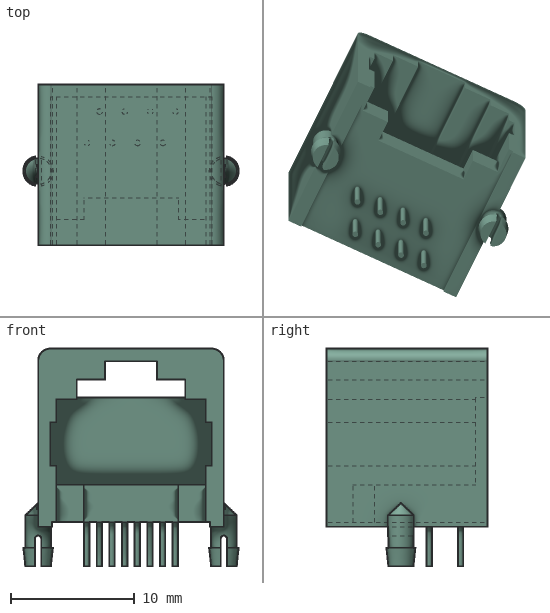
import cadquery as cq


total_height = 17.6
body_width = 15.0
body_depth = 13.0
body_bottom = 3.2
corner_radius = 1.0
front_y = -body_depth / 2
back_y = body_depth / 2

underside_z = 3.57
foot_inner_x = 6.37
plug_half_width = 6.02
rail_half_width = 6.51
rail_bottom = 8.11
rail_top = 11.65
plug_top = 13.5
latch_half_width = 4.36
latch_top = 15.08
tab_half_width = 2.1
tab_top = 16.56

floor_top = 6.6
floor_setback = 2.13
recess_depth = 1.75
recess_half_width = 3.8
rear_wall_top = 13.65
rear_wall_thickness = 1.0

pin_diameter = 0.45
pin_count = 8
pin_pitch = 1.02
pin_row_y = (1.8, 4.33)

post_diameter = 2.1
barb_diameter = 17.4 - body_width
barb_height = 1.5
post_shoulder_z = 4.12
post_tip_z = 5.12
post_y = -0.5
slot_width = 0.5
slot_top = 2.48


def box_between(x_min, x_max, y_min, y_max, z_min, z_max):
    """Axis-aligned box given by its limits."""
    size = (x_max - x_min, y_max - y_min, z_max - z_min)
    return cq.Workplane("XY").box(*size, centered=False).translate((x_min, y_min, z_min))


def centred_channel(half_width, z_min, z_max):
    """Box symmetric about X = 0 that runs the full depth of the housing."""
    return box_between(-half_width, half_width, front_y, back_y, z_min, z_max)


def make_shell():
    """Rounded housing with the stepped plug opening cut from front to back."""
    shell = centred_channel(body_width / 2, body_bottom, total_height)
    shell = shell.edges("|Y and >Z").fillet(corner_radius)
    opening_steps = (
        (foot_inner_x, body_bottom, underside_z),
        (plug_half_width, underside_z, plug_top),
        (rail_half_width, rail_bottom, rail_top),
        (latch_half_width, plug_top, latch_top),
        (tab_half_width, latch_top, tab_top),
    )
    for half_width, z_min, z_max in opening_steps:
        shell = shell.cut(centred_channel(half_width, z_min, z_max))
    return shell


def make_floor():
    """Floor block between the side walls, recessed in the middle of its front."""
    floor_front = front_y + floor_setback
    floor = box_between(-plug_half_width, plug_half_width, floor_front, back_y, underside_z, floor_top)
    recess = box_between(
        -recess_half_width, recess_half_width,
        floor_front, floor_front + recess_depth,
        underside_z, floor_top,
    )
    return floor.cut(recess)


def make_rear_wall():
    """Wall that closes the back of the opening, leaving a window above it."""
    wall_front = back_y - rear_wall_thickness
    lower = box_between(-rail_half_width, rail_half_width, wall_front, back_y, underside_z, plug_top)
    upper = box_between(-latch_half_width, latch_half_width, wall_front, back_y, plug_top, rear_wall_top)
    return lower.union(upper)


def make_pin(index):
    """Round contact pin rising into the floor block; rows alternate along X."""
    x = (index - (pin_count - 1) / 2) * pin_pitch
    y = pin_row_y[index % len(pin_row_y)]
    pin_length = (underside_z + floor_top) / 2
    return cq.Workplane("XY").center(x, y).circle(pin_diameter / 2).extrude(pin_length)


def make_post(x):
    """Pointed post with a tapered barb, split by a round-ended slot along Y."""
    post_radius = post_diameter / 2
    post = (
        cq.Workplane("XZ")
        .moveTo(0, 0)
        .lineTo(post_radius, 0)
        .lineTo(barb_diameter / 2, barb_height)
        .lineTo(post_radius, barb_height)
        .lineTo(post_radius, post_shoulder_z)
        .lineTo(0, post_tip_z)
        .close()
        .revolve(360, (0, 0, 0), (0, 1, 0))
    )
    slot_radius = slot_width / 2
    slot = (
        cq.Workplane("XZ")
        .moveTo(-slot_radius, 0)
        .lineTo(-slot_radius, slot_top - slot_radius)
        .threePointArc((0, slot_top), (slot_radius, slot_top - slot_radius))
        .lineTo(slot_radius, 0)
        .close()
        .extrude(barb_diameter / 2, both=True)
    )
    return post.cut(slot).translate((x, post_y, 0))


result = make_shell().union(make_floor()).union(make_rear_wall())
for pin_index in range(pin_count):
    result = result.union(make_pin(pin_index))
for side in (-1, 1):
    result = result.union(make_post(side * body_width / 2))